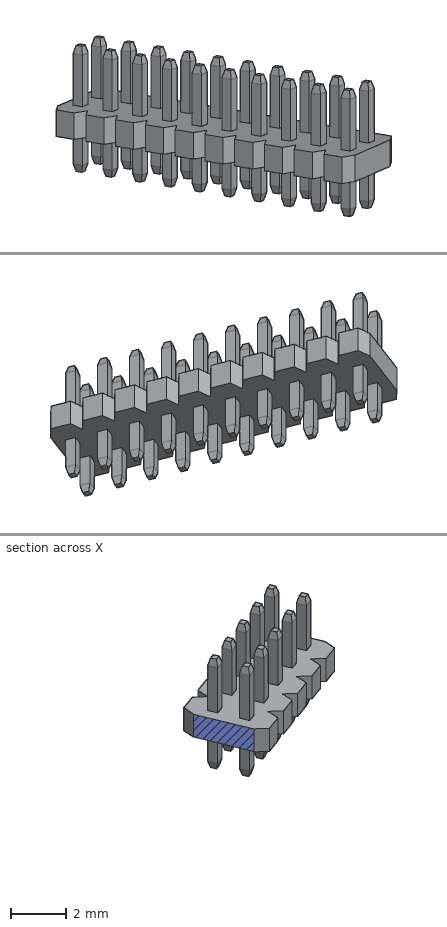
import cadquery as cq

PITCH = 1.27
PINS_PER_ROW = 10
ROWS = 2

BODY_WIDTH = 3.4
BODY_HEIGHT = 1.0
NOTCH_DEPTH = 0.5
NOTCH_HALF_WIDTH = 0.25

PIN_SIDE = 0.4
PIN_TIP_SIDE = 0.24
PIN_TAPER_LENGTH = 0.3
PIN_ABOVE_BODY = 2.25
PIN_BELOW_BODY = 1.5

BODY_LENGTH = PINS_PER_ROW * PITCH
PIN_TOP = BODY_HEIGHT + PIN_ABOVE_BODY
PIN_BOTTOM = -PIN_BELOW_BODY
PIN_SHANK_LENGTH = PIN_TOP - PIN_BOTTOM - 2 * PIN_TAPER_LENGTH


def edge_points(side):
    """Notched long edge from -X to +X; side is -1 or +1 for the -Y or +Y edge."""
    outer_y = side * BODY_WIDTH / 2
    root_y = side * (BODY_WIDTH / 2 - NOTCH_DEPTH)
    points = []
    for cell in range(PINS_PER_ROW):
        cell_start = -BODY_LENGTH / 2 + cell * PITCH
        points.append((cell_start, root_y))
        points.append((cell_start + NOTCH_HALF_WIDTH, outer_y))
        points.append((cell_start + PITCH - NOTCH_HALF_WIDTH, outer_y))
    points.append((BODY_LENGTH / 2, root_y))
    return points


def make_body():
    """Plastic strip, notched between pin pairs and cut to half notches at its ends."""
    outline = edge_points(-1) + edge_points(1)[::-1]
    return cq.Workplane("XY").polyline(outline).close().extrude(BODY_HEIGHT)


def make_taper(base_z, direction):
    """Pyramid frustum from the shank section to the pin tip; direction is +1 up, -1 down."""
    return (
        cq.Workplane("XY", origin=(0, 0, base_z))
        .rect(PIN_SIDE, PIN_SIDE)
        .workplane(offset=direction * PIN_TAPER_LENGTH)
        .rect(PIN_TIP_SIDE, PIN_TIP_SIDE)
        .loft(ruled=True)
    )


def make_pin():
    """Square pin on the Z axis, tapered at both ends."""
    shank_bottom = PIN_BOTTOM + PIN_TAPER_LENGTH
    shank_top = PIN_TOP - PIN_TAPER_LENGTH
    shank = (
        cq.Workplane("XY", origin=(0, 0, shank_bottom))
        .rect(PIN_SIDE, PIN_SIDE)
        .extrude(PIN_SHANK_LENGTH)
    )
    return shank.union(make_taper(shank_top, 1)).union(make_taper(shank_bottom, -1))


def add_pins(body):
    """Fuse the full grid of pins, centred on the body, into the body."""
    pin = make_pin()
    header = body
    for column in range(PINS_PER_ROW):
        pin_x = (column - (PINS_PER_ROW - 1) / 2) * PITCH
        for row in range(ROWS):
            pin_y = (row - (ROWS - 1) / 2) * PITCH
            header = header.union(pin.translate((pin_x, pin_y, 0)))
    return header


result = add_pins(make_body())